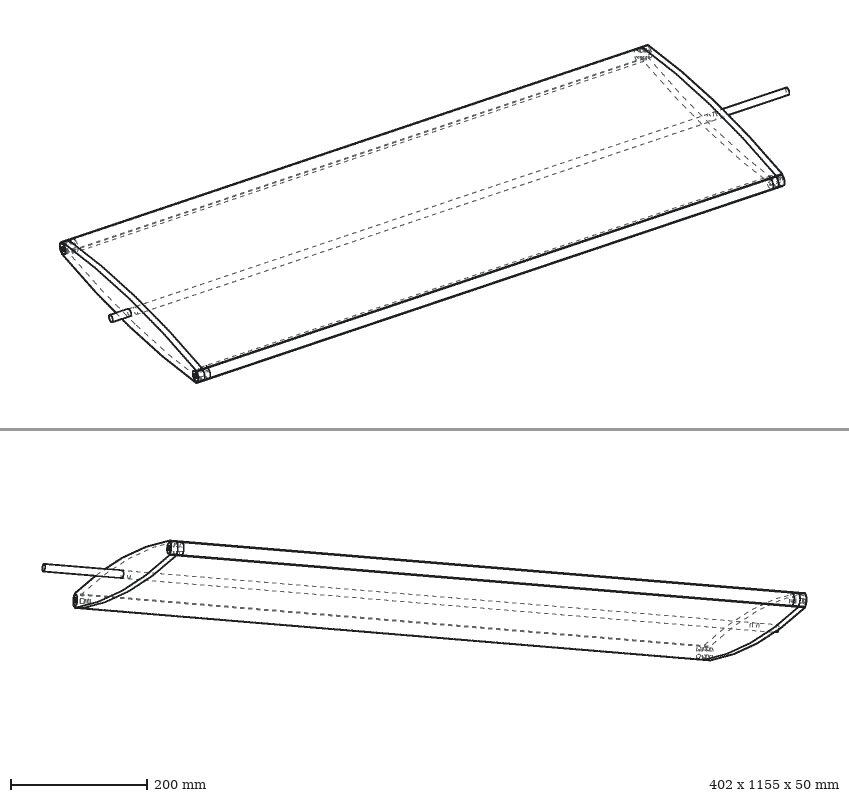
import cadquery as cq

total_length = 1155.0
total_width = 402.0
blade_thickness = 50.0
blade_length = 1000.0
front_shaft_reach = 31.0

lip_half_height = 11.0
lip_setback = 7.0

cap_thickness = 10.0
shaft_radius = 6.0
rod_radius = 10.0
plug_length = 20.0
plug_journal_radius = 8.0
plug_bore_radius = 3.0

front_y = -blade_length / 2
back_y = blade_length / 2
half_width = total_width / 2
rod_x = half_width - rod_radius
lip_end_x = half_width - lip_setback
crown_z = blade_thickness / 2


def cylinder(radius, x, y_start, length):
    """Round bar along +Y."""
    plane = cq.Plane(origin=(x, y_start, 0), xDir=(-1, 0, 0), normal=(0, 1, 0))
    return cq.Workplane(plane).circle(radius).extrude(length)


def blade_section(y_start, length):
    """Length of lens-shaped section, before its holes are cut."""
    plane = cq.Plane(origin=(0, y_start, 0), xDir=(-1, 0, 0), normal=(0, 1, 0))
    return (
        cq.Workplane(plane)
        .moveTo(-lip_end_x, lip_half_height)
        .threePointArc((0, crown_z), (lip_end_x, lip_half_height))
        .lineTo(lip_end_x, -lip_half_height)
        .threePointArc((0, -crown_z), (-lip_end_x, -lip_half_height))
        .close()
        .extrude(length)
    )


def make_blade():
    """Blade with the shaft hole and an open rod socket along each edge."""
    y_start = front_y + cap_thickness
    length = blade_length - 2 * cap_thickness
    blade_body = blade_section(y_start, length).cut(cylinder(shaft_radius, 0, y_start, length))
    for x in (-rod_x, rod_x):
        blade_body = blade_body.cut(cylinder(rod_radius, x, y_start, length))
    return blade_body


def make_end_cap(y_start):
    """End plate with round noses in line with the edge rods, bored for the plugs."""
    cap = blade_section(y_start, cap_thickness)
    for x in (-rod_x, rod_x):
        cap = cap.union(cylinder(rod_radius, x, y_start, cap_thickness))
        cap = cap.cut(cylinder(plug_journal_radius, x, y_start, cap_thickness))
    return cap.cut(cylinder(shaft_radius, 0, y_start, cap_thickness))


def make_shaft():
    return cylinder(shaft_radius, 0, front_y - front_shaft_reach, total_length)


def make_edge_rod(x):
    return cylinder(rod_radius, x, front_y + plug_length, blade_length - 2 * plug_length)


def make_plug(x, end_y, inward):
    """Bored plug: a journal through the end cap, then a shoulder that fills the rod socket."""
    shoulder_y = end_y + inward * cap_thickness
    inner_y = end_y + inward * plug_length
    journal = cylinder(plug_journal_radius, x, min(end_y, shoulder_y), cap_thickness)
    shoulder = cylinder(rod_radius, x, min(shoulder_y, inner_y), plug_length - cap_thickness)
    bore = cylinder(plug_bore_radius, x, min(end_y, inner_y), plug_length)
    return journal.union(shoulder).cut(bore)


blade = make_blade()
shaft = make_shaft()
end_caps = [make_end_cap(y) for y in (front_y, back_y - cap_thickness)]
edge_rods = [make_edge_rod(x) for x in (-rod_x, rod_x)]
plugs = [
    make_plug(x, end_y, inward)
    for x in (-rod_x, rod_x)
    for end_y, inward in ((front_y, 1), (back_y, -1))
]

bodies = [blade, shaft, *end_caps, *edge_rods, *plugs]
result = cq.Compound.makeCompound([body.val() for body in bodies])